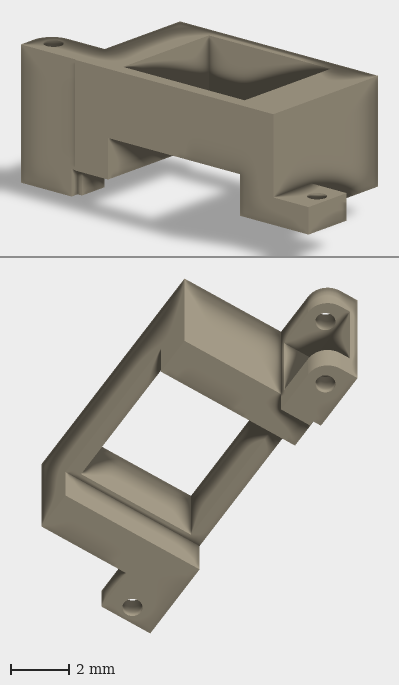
import cadquery as cq

total_length = 13.1
total_height = 5.0
lug_thickness = 1.0

body_left = 2.5
body_right = 11.5
body_depth = 5.5
body_bottom = lug_thickness

window_left = 4.25
window_right = 9.77
window_front = 0.5
window_back = 5.0

relief_left = 4.0
relief_right = 10.0
relief_height = 1.5

arm_front = 0.04
arm_thickness = 1.5
arm_back = arm_front + arm_thickness
arm_corner_radius = 0.8
arm_wall = 0.31
slot_right = 2.3
arm_hole_x = 0.8
arm_hole_y = 0.84

tab_depth = 2.0
tab_hole_x = 12.55
tab_hole_y = 1.09

hole_diameter = 0.7


def box(x_range, y_range, z_range):
    """Box spanning the given (low, high) limits on each axis."""
    sizes = [high - low for low, high in (x_range, y_range, z_range)]
    corner = (x_range[0], y_range[0], z_range[0])
    return cq.Workplane("XY").box(*sizes, centered=False).translate(corner)


def vertical_hole(x, y):
    """Cutter for a round hole through the full height."""
    return cq.Workplane("XY").center(x, y).circle(hole_diameter / 2).extrude(total_height)


def make_body():
    body = box((body_left, body_right), (0, body_depth), (body_bottom, total_height))
    window = box((window_left, window_right), (window_front, window_back), (0, total_height))
    relief_top = body_bottom + relief_height
    relief = box((relief_left, relief_right), (0, body_depth), (body_bottom, relief_top))
    return body.cut(window).cut(relief)


def make_arm():
    """Two lugs joined by a thin front wall, with the lower lug notched beside the body."""
    arm = box((0, body_left), (arm_front, arm_back), (0, total_height))
    arm = arm.edges("|Z and <X and >Y").fillet(arm_corner_radius)
    wall_back = arm_front + arm_wall
    slot = box((0, slot_right), (wall_back, arm_back), (lug_thickness, total_height - lug_thickness))
    notch = box((slot_right, body_left), (arm_front, wall_back), (0, lug_thickness))
    return arm.cut(slot).cut(notch).cut(vertical_hole(arm_hole_x, arm_hole_y))


def make_tab():
    tab_top = body_bottom + lug_thickness
    tab = box((body_right, total_length), (0, tab_depth), (body_bottom, tab_top))
    return tab.cut(vertical_hole(tab_hole_x, tab_hole_y))


result = make_body().union(make_arm()).union(make_tab())